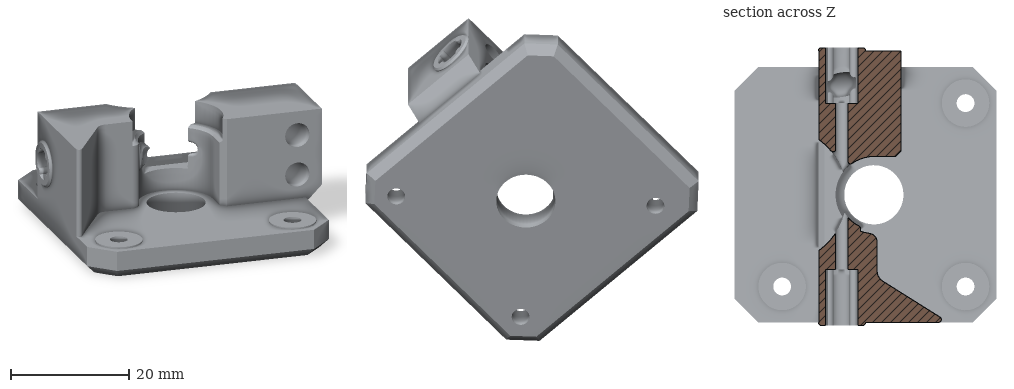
import cadquery as cq
import math

plate_left = -23.5
plate_right = 20.7
plate_half_y = 21.55
plate_height = 4.92
corner_cut = 4.0
bottom_chamfer = 1.5
bore_radius = 4.995

screw_offset = 15.5
screw_diameter = 3.0
pad_diameter = 8.0
pad_height = 0.3

block_left = -9.35
block_right = 4.6
block_back = 24.4
block_top = 20.5
overhang_bottom = 6.9
front_wall_x = 0.55
slope_start_y = -13.95
slope_end_x = 12.65
slope_fillet = 1.95
tip_fillet = 0.5
back_corner_chamfer = 1.0
front_corner_fillet = 1.6

wheel_radius = 6.45
collar_radius = 7.95
collar_floor = 16.6
ledge_chamfer = 0.5

roller_x = -16.05
roller_radius = 11.5
roller_floor = 8.8
floor_chamfer = 1.0

passage_x = -5.45
passage_z = 12.48
passage_diameter = 2.0
mouth_fillet = 0.45
mouth_reach = 1.88
boss_diameter = 8.0
boss_height = 0.492
boss_chamfer = 0.35
socket_radius = 2.7
socket_depth = 9.4
ridge_count = 4
ridge_radius = 0.75
ridge_offset = 3.0

guide_radius = 3.2
guide_apex_y = -1.75
guide_taper = 0.85
guide_clearance_radius = 5.75
guide_length = 4.7

cross_diameter = 4.25
cross_y = 18.0
cross_low_z = 9.2
cross_spacing = 7.05
cross_shift = 2.0


def vertical_cylinder(x, y, radius, bottom, top):
    return cq.Workplane("XY", origin=(x, y, bottom)).circle(radius).extrude(top - bottom)


def passage_plane(y):
    """Sketch plane across the passage at y, extruding towards +Y."""
    return cq.Workplane(cq.Plane((passage_x, y, passage_z), xDir=(1, 0, 0), normal=(0, 1, 0)))


def make_plate():
    return (
        cq.Workplane("XY")
        .center((plate_left + plate_right) / 2, 0)
        .rect(plate_right - plate_left, 2 * plate_half_y)
        .extrude(plate_height)
        .edges("|Z")
        .chamfer(corner_cut)
        .faces("<Z")
        .edges()
        .chamfer(bottom_chamfer)
    )


def make_back_block():
    """Block behind the main bore, sloped underneath where it overhangs the plate."""
    block = (
        cq.Workplane("XY", origin=(0, 0, bottom_chamfer))
        .moveTo(block_left, 0)
        .lineTo(-wheel_radius, 0)
        .radiusArc((0, wheel_radius), wheel_radius)
        .lineTo(block_right - back_corner_chamfer, wheel_radius)
        .lineTo(block_right, wheel_radius + back_corner_chamfer)
        .lineTo(block_right, block_back)
        .lineTo(block_left, block_back)
        .close()
        .extrude(block_top - bottom_chamfer)
    )
    undercut = (
        cq.Workplane("YZ", origin=(block_left, 0, 0))
        .moveTo(plate_half_y, 0)
        .lineTo(block_back, 0)
        .lineTo(block_back, overhang_bottom)
        .lineTo(plate_half_y, overhang_bottom - (block_back - plate_half_y))
        .close()
        .extrude(block_right - block_left)
    )
    return block.cut(undercut)


def make_front_block():
    """Block in front of the main bore, with a wedge that runs out to the right."""
    inner_corner_y = -math.sqrt(wheel_radius**2 - front_wall_x**2)
    block = (
        cq.Workplane("XY", origin=(0, 0, plate_height))
        .moveTo(block_left, -plate_half_y)
        .lineTo(slope_end_x, -plate_half_y)
        .lineTo(front_wall_x, slope_start_y)
        .lineTo(front_wall_x, inner_corner_y)
        .radiusArc((-wheel_radius, 0), wheel_radius)
        .lineTo(block_left, 0)
        .close()
        .extrude(block_top - plate_height)
    )
    edge_z = (plate_height + block_top) / 2
    for x, y, radius in (
        (slope_end_x, -plate_half_y, tip_fillet),
        (front_wall_x, slope_start_y, slope_fillet),
        (front_wall_x, inner_corner_y, front_corner_fillet),
    ):
        block = block.edges(cq.selectors.NearestToPointSelector((x, y, edge_z))).fillet(radius)
    return block


def cut_collar(block, side):
    """Cut the wide pocket above the ledge and bevel the ledge; side is -1 in front, 1 at the back."""
    middle = wheel_radius * math.sqrt(0.5)
    ledge_edge = cq.selectors.NearestToPointSelector((-middle, side * middle, collar_floor))
    cut_block = block.cut(vertical_cylinder(0, 0, collar_radius, collar_floor, block_top))
    return cut_block.edges(ledge_edge).chamfer(ledge_chamfer)


def make_roller_pocket():
    """Round pocket whose floor slopes down at the left side of the block."""
    pocket = vertical_cylinder(roller_x, 0, roller_radius, plate_height, block_top)
    profile = [
        (roller_x, block_top),
        (0, block_top),
        (0, roller_floor),
        (block_left + floor_chamfer, roller_floor),
        (block_left, roller_floor - floor_chamfer),
        (roller_x, roller_floor - floor_chamfer),
    ]
    above_floor = (
        cq.Workplane("XZ", origin=(0, roller_radius, 0))
        .polyline(profile)
        .close()
        .extrude(2 * roller_radius)
    )
    return pocket.intersect(above_floor)


def make_guide():
    """Cone around the passage that points towards the back, hollowed around the main bore."""
    cone_start = guide_apex_y - guide_radius / guide_taper
    guide = (
        cq.Workplane("XY", origin=(passage_x, 0, passage_z))
        .moveTo(0, guide_apex_y)
        .lineTo(guide_radius, cone_start)
        .lineTo(guide_radius, cone_start - guide_length)
        .lineTo(0, cone_start - guide_length)
        .close()
        .revolve(360, (0, 0, 0), (0, 1, 0))
    )
    return guide.cut(vertical_cylinder(0, 0, guide_clearance_radius, plate_height, block_top))


def round_mouth(block):
    """Round the rim where the passage opens into the pockets of the back block."""
    mouth = cq.selectors.BoxSelector(
        (passage_x - mouth_reach, 0, passage_z - mouth_reach),
        (passage_x + mouth_reach, collar_radius, passage_z + mouth_reach),
        boundingbox=True,
    )
    return block.edges(mouth).fillet(mouth_fillet)


def make_boss(y, direction):
    boss = passage_plane(y).circle(boss_diameter / 2).extrude(direction * boss_height)
    return boss.faces(">Y" if direction > 0 else "<Y").edges().chamfer(boss_chamfer)


def make_socket(y, direction):
    """Round socket with lengthwise ridges left standing on its wall."""
    socket = passage_plane(y).circle(socket_radius).extrude(direction * socket_depth)
    ridges = (
        passage_plane(y)
        .polarArray(ridge_offset, 45, 360, ridge_count)
        .circle(ridge_radius)
        .extrude(direction * socket_depth)
    )
    return socket.cut(ridges)


def make_cross_holes():
    """Two holes, one above the other, that drift backwards on their way through the block."""
    holes = cq.Workplane("XY")
    direction = cq.Vector(block_right - block_left, cross_shift, 0)
    for z in (cross_low_z, cross_low_z + cross_spacing):
        start = cq.Vector(block_left, cross_y, z) - direction
        holes = holes.add(cq.Solid.makeCylinder(cross_diameter / 2, 3 * direction.Length, start, direction))
    return holes.combine()


def add_pads_and_holes(body):
    spots = [(screw_offset, screw_offset), (screw_offset, -screw_offset), (-screw_offset, -screw_offset)]
    pads = (
        cq.Workplane("XY", origin=(0, 0, plate_height))
        .pushPoints(spots)
        .circle(pad_diameter / 2)
        .extrude(pad_height)
    )
    holes = cq.Workplane("XY").pushPoints(spots).circle(screw_diameter / 2).extrude(block_top)
    return body.union(pads).cut(holes)


passage = passage_plane(-plate_half_y).circle(passage_diameter / 2).extrude(plate_half_y + block_back)
roller_pocket = make_roller_pocket()

back_block = cut_collar(make_back_block(), 1).cut(roller_pocket).cut(passage, clean=False)
back_block = round_mouth(back_block)
front_block = cut_collar(make_front_block(), -1).union(make_guide())
front_block = front_block.cut(roller_pocket, clean=False).cut(passage, clean=False)

part = make_plate().union(back_block.union(front_block, clean=False))
part = add_pads_and_holes(part)
part = part.cut(vertical_cylinder(0, 0, bore_radius, 0, plate_height))
part = part.union(make_boss(-plate_half_y, -1)).union(make_boss(block_back, 1))
part = part.cut(make_socket(-plate_half_y - boss_height, 1))
part = part.cut(make_socket(block_back + boss_height, -1))
result = part.cut(make_cross_holes())